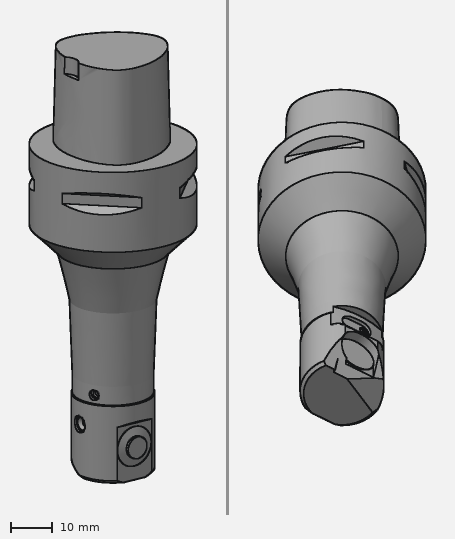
import cadquery as cq
import math

TOTAL_LENGTH = 106.5
SHANK_LENGTH = 23.9
TIP_Z = SHANK_LENGTH - TOTAL_LENGTH
FLANGE_BOTTOM_Z = -20.2
CONE_BOTTOM_Z = -26.8
NECK_BOTTOM_Z = -39.2
TAPER_BOTTOM_Z = -58.0
HEAD_TOP_Z = -62.7

FLANGE_RADIUS = 40.0 / 2
CONE_BOTTOM_RADIUS = FLANGE_RADIUS - (FLANGE_BOTTOM_Z - CONE_BOTTOM_Z)
NECK_BOTTOM_RADIUS = 10.4
NECK_HOLLOW = 0.1
STEM_RADIUS = 19.5 / 2
HEAD_RADIUS = 10.0
HEAD_TOP_CHAMFER = 0.2
HEAD_END_CHAMFER = 0.9

SHANK_MEAN_RADIUS = 14.0
SHANK_LOBE = 1.0
SHANK_TAPER = 1 / 20
SHANK_SPANS = 6
SPAN_STEPS = 4

KEYWAY_RADIUS = 3.8
KEYWAY_HEIGHT = 4.3
KEYWAY_BACK_Y = -11.1

GROOVE_COUNT = 4
FIRST_GROOVE_ANGLE = 45
GROOVE_Z = -8.1
GROOVE_FLOOR_DISTANCE = 17.6
GROOVE_FLOOR_WIDTH = 2.6
GROOVE_WALL_ANGLE = math.radians(30)

INDEX_DIAMETER = 2.6
INDEX_SOCKET_DIAMETER = 1.6
INDEX_DEPTH = 1.1
INDEX_Z = -60.6
INDEX_X = 4.3

POCKET_TOP_Z = -60.4
POCKET_BOTTOM_Z = -67.8
POCKET_FLOOR_X = -8.0
POCKET_FLOOR_RADIUS = 24.1
POCKET_HALF_WIDTH = 8.5
POCKET_LIP = 0.7
WINDOW_WIDTH = 4.5
WINDOW_LENGTH = 7.6
WINDOW_DEPTH = 0.9
WINDOW_TAPER = 15
WINDOW_Y = 0.6
WINDOW_Z = -64.8
DIAL_SCREW_DIAMETER = 2.3
DIAL_SOCKET_DIAMETER = 1.0
DIAL_SCREW_DEPTH = 0.5
DIAL_SCREW_Y = -1.8
DIAL_SCREW_Z = -64.3

BACK_FLAT_X = -8.9
RELIEF_START_Z = -72.6
RELIEF_ANGLE = math.radians(20.9)
SLOT_FLOOR_X = -6.2
SLOT_SIDE_Y = 2.8
STEP_START_Z = -79.6
STEP_ANGLE = math.radians(32)

PIN_DIAMETER = 10.0
PIN_Z = -74.1
PIN_BACK_X = -6.4
PIN_SHOULDER_X = 8.5
PIN_STUD_X = 9.2
PIN_FRONT_X = 9.9
PIN_STUD_DIAMETER = 5.5

CORNER_POINT = (-4.4, 1.3, TIP_Z)
CORNER_AZIMUTH = 207
CORNER_RISE = math.radians(31.6)

FRONT_FLAT_X = 8.6
FRONT_FLAT_TOP_Z = -68.3
FRONT_RUNOUT_ANGLE = math.radians(31)

NOZZLE_DIAMETER = 4.2
NOZZLE_SEAT_DIAMETER = 3.2
NOZZLE_TIP_DIAMETER = 1.3
NOZZLE_Z = -68.9
NOZZLE_DEPTH = 0.7

CLEAR = 21.3
OVERRUN = 1.1


def box_between(x_range, y_range, z_range):
    """Box given by its limits along each axis."""
    size = [high - low for low, high in (x_range, y_range, z_range)]
    box = cq.Workplane("XY").box(*size, centered=False)
    return box.translate((x_range[0], y_range[0], z_range[0]))


def shank_point(angle, mean_radius):
    """Point of the three-lobed curve whose outward normal has this angle."""
    lobe_angle = 3 * (angle - math.pi / 2)
    support = mean_radius + SHANK_LOBE * math.cos(lobe_angle)
    slope = -3 * SHANK_LOBE * math.sin(lobe_angle)
    return (
        support * math.cos(angle) - slope * math.sin(angle),
        support * math.sin(angle) + slope * math.cos(angle),
    )


def shank_section(z, mean_radius):
    """Closed three-lobed wire made of alternating lobe and flank curves."""
    span = 2 * math.pi / SHANK_SPANS
    edges = []
    for index in range(SHANK_SPANS):
        angles = [span * (index + step / SPAN_STEPS) for step in range(SPAN_STEPS + 1)]
        points = [cq.Vector(*shank_point(angle, mean_radius), z) for angle in angles]
        tangents = [cq.Vector(-math.sin(angle), math.cos(angle), 0) for angle in (angles[0], angles[-1])]
        edges.append(cq.Edge.makeSpline(points, tangents=tangents))
    return cq.Wire.assembleEdges(edges)


def shank():
    """Tapered three-lobed shank with a rounded keyway at its top."""
    top_radius = SHANK_MEAN_RADIUS - SHANK_LENGTH * SHANK_TAPER / 2
    sections = [shank_section(0, SHANK_MEAN_RADIUS), shank_section(SHANK_LENGTH, top_radius)]
    body = cq.Workplane(cq.Solid.makeLoft(sections, True))
    keyway = (
        cq.Workplane("XY", origin=(0, KEYWAY_BACK_Y - KEYWAY_RADIUS, SHANK_LENGTH - KEYWAY_HEIGHT))
        .circle(KEYWAY_RADIUS)
        .extrude(KEYWAY_HEIGHT)
    )
    return body.cut(keyway)


def turned_body():
    """Flange, cone, hollowed neck and slim end, turned about the tool axis."""
    neck_middle = (
        (CONE_BOTTOM_RADIUS + NECK_BOTTOM_RADIUS) / 2 - NECK_HOLLOW,
        (CONE_BOTTOM_Z + NECK_BOTTOM_Z) / 2,
    )
    return (
        cq.Workplane("XZ")
        .moveTo(0, 0)
        .lineTo(FLANGE_RADIUS, 0)
        .lineTo(FLANGE_RADIUS, FLANGE_BOTTOM_Z)
        .lineTo(CONE_BOTTOM_RADIUS, CONE_BOTTOM_Z)
        .threePointArc(neck_middle, (NECK_BOTTOM_RADIUS, NECK_BOTTOM_Z))
        .lineTo(STEM_RADIUS, TAPER_BOTTOM_Z)
        .lineTo(STEM_RADIUS, HEAD_TOP_Z)
        .lineTo(0, HEAD_TOP_Z)
        .close()
        .revolve(360, (0, 0, 0), (0, 1, 0))
    )


def gripper_groove(angle):
    """Straight groove with sloped walls, cut into the flange rim at this angle."""
    floor_half = GROOVE_FLOOR_WIDTH / 2
    reach = FLANGE_RADIUS + OVERRUN - GROOVE_FLOOR_DISTANCE
    mouth_half = floor_half + reach * math.tan(GROOVE_WALL_ANGLE)
    profile = [(0, -floor_half), (reach, -mouth_half), (reach, mouth_half), (0, floor_half)]
    return (
        cq.Workplane("XZ", origin=(GROOVE_FLOOR_DISTANCE, 0, GROOVE_Z))
        .polyline(profile)
        .close()
        .extrude(FLANGE_RADIUS, both=True)
        .rotate((0, 0, 0), (0, 0, 1), angle)
    )


def index_hole():
    """Radial screw hole with a small socket, just above the head."""
    angle = -math.acos(INDEX_X / STEM_RADIUS)
    outward = cq.Vector(math.cos(angle), math.sin(angle), 0)
    floor = outward * (STEM_RADIUS - INDEX_DEPTH) + cq.Vector(0, 0, INDEX_Z)
    plane = cq.Plane(origin=floor, xDir=(0, 0, 1), normal=outward)
    screw = cq.Workplane(plane).circle(INDEX_DIAMETER / 2).extrude(2 * INDEX_DEPTH)
    socket = cq.Workplane(plane).circle(INDEX_SOCKET_DIAMETER / 2).extrude(-INDEX_DEPTH)
    return screw.union(socket)


def adjusting_pocket():
    """Space outside a gently rounded floor, with a slotted window in it."""
    centre_x = POCKET_FLOOR_X + POCKET_FLOOR_RADIUS
    edge_x = centre_x - math.sqrt(POCKET_FLOOR_RADIUS**2 - POCKET_HALF_WIDTH**2)
    pocket = (
        cq.Workplane("XY", origin=(0, 0, POCKET_BOTTOM_Z))
        .moveTo(edge_x, POCKET_HALF_WIDTH)
        .threePointArc((POCKET_FLOOR_X, 0), (edge_x, -POCKET_HALF_WIDTH))
        .lineTo(-CLEAR, -POCKET_HALF_WIDTH)
        .lineTo(-CLEAR, POCKET_HALF_WIDTH)
        .close()
        .extrude(POCKET_TOP_Z - POCKET_BOTTOM_Z)
    )
    window = (
        cq.Workplane("YZ", origin=(POCKET_FLOOR_X + WINDOW_DEPTH, WINDOW_Y, WINDOW_Z))
        .slot2D(WINDOW_LENGTH, WINDOW_WIDTH)
        .extrude(-WINDOW_DEPTH, taper=-WINDOW_TAPER)
    )
    return pocket.union(window)


def dial_screw_hole():
    """Small stepped hole in the floor of the pocket window."""
    floor_x = POCKET_FLOOR_X + WINDOW_DEPTH
    plane = cq.Workplane("YZ", origin=(floor_x, DIAL_SCREW_Y, DIAL_SCREW_Z))
    screw = plane.circle(DIAL_SCREW_DIAMETER / 2).extrude(DIAL_SCREW_DEPTH)
    socket = plane.circle(DIAL_SOCKET_DIAMETER / 2).extrude(2 * DIAL_SCREW_DEPTH)
    return screw.union(socket)


def head_blank():
    """Turned head, slightly wider than the stem, chamfered at both ends."""
    return (
        cq.Workplane("XY", origin=(0, 0, TIP_Z))
        .circle(HEAD_RADIUS)
        .extrude(HEAD_TOP_Z - TIP_Z)
        .faces(">Z").chamfer(HEAD_TOP_CHAMFER)
        .faces("<Z").chamfer(HEAD_END_CHAMFER)
    )


def slope_x(start_x, start_z, angle, z):
    """X of a sloped face at height z, leaning from its start by this angle."""
    return start_x + (start_z - z) * math.tan(angle)


def sloped_cut(start_x, start_z, angle, half_width):
    """Space behind a face that leans inwards towards the tip."""
    end_z = TIP_Z - OVERRUN
    end_x = slope_x(start_x, start_z, angle, end_z)
    return (
        cq.Workplane("XZ")
        .polyline([(start_x, start_z), (end_x, end_z), (-CLEAR, end_z), (-CLEAR, start_z)])
        .close()
        .extrude(half_width, both=True)
    )


def back_cuts():
    """Flat, relief slope, side slot, lower step and pocket lip on the back of the head."""
    flat = box_between((-CLEAR, BACK_FLAT_X), (-CLEAR, CLEAR), (TIP_Z, POCKET_BOTTOM_Z))
    relief = sloped_cut(BACK_FLAT_X, RELIEF_START_Z, RELIEF_ANGLE, CLEAR)
    slot = box_between((-CLEAR, SLOT_FLOOR_X), (-PIN_DIAMETER / 2, SLOT_SIDE_Y), (TIP_Z, PIN_Z))
    step_x = slope_x(BACK_FLAT_X, RELIEF_START_Z, RELIEF_ANGLE, STEP_START_Z)
    step = sloped_cut(step_x, STEP_START_Z, STEP_ANGLE, PIN_DIAMETER / 2)
    lip = (
        cq.Workplane("XZ", origin=(BACK_FLAT_X, 0, POCKET_BOTTOM_Z))
        .polyline([(0, -POCKET_LIP), (POCKET_LIP, 0), (-CLEAR, 0), (-CLEAR, -POCKET_LIP)])
        .close()
        .extrude(CLEAR, both=True)
    )
    return [flat, relief, slot, step, lip]


def corner_cut():
    """Wedge that rises outwards from the end face under one corner."""
    rise = CLEAR * math.tan(CORNER_RISE)
    return (
        cq.Workplane("XZ")
        .polyline([(0, 0), (CLEAR, rise), (CLEAR, -OVERRUN), (0, -OVERRUN)])
        .close()
        .extrude(CLEAR, both=True)
        .rotate((0, 0, 0), (0, 0, 1), CORNER_AZIMUTH)
        .translate(CORNER_POINT)
    )


def front_flat():
    """Full-width flat with a sloped run-out at its top."""
    reach = CLEAR - FRONT_FLAT_X
    runout = reach * math.tan(FRONT_RUNOUT_ANGLE)
    return (
        cq.Workplane("XZ", origin=(FRONT_FLAT_X, 0, FRONT_FLAT_TOP_Z))
        .polyline([(0, 0), (reach, runout), (reach, -CLEAR), (0, -CLEAR)])
        .close()
        .extrude(CLEAR, both=True)
    )


def pin_bore():
    """Through bore for the slide pin."""
    return (
        cq.Workplane("YZ", origin=(-CLEAR, 0, PIN_Z))
        .circle(PIN_DIAMETER / 2)
        .extrude(2 * CLEAR)
    )


def nozzle_hole():
    """Round recess with a conical seat that ends in a fine hole."""
    mouth = NOZZLE_DIAMETER / 2
    seat_radius = NOZZLE_SEAT_DIAMETER / 2
    tip = NOZZLE_TIP_DIAMETER / 2
    floor = HEAD_RADIUS - NOZZLE_DEPTH
    seat = floor - NOZZLE_DEPTH
    end = seat - NOZZLE_DEPTH
    profile = [
        (0, end), (tip, end), (tip, seat), (seat_radius, floor),
        (mouth, floor), (mouth, HEAD_RADIUS + OVERRUN), (0, HEAD_RADIUS + OVERRUN),
    ]
    return (
        cq.Workplane("XY")
        .polyline(profile)
        .close()
        .revolve(360, (0, 0, 0), (0, 1, 0))
        .rotate((0, 0, 0), (0, 0, 1), 180)
        .translate((0, 0, NOZZLE_Z))
    )


def make_holder():
    """Shank, flange, stem and boring head in one piece."""
    body = turned_body().union(shank()).union(head_blank())
    for index in range(GROOVE_COUNT):
        body = body.cut(gripper_groove(FIRST_GROOVE_ANGLE + index * 360 / GROOVE_COUNT))
    body = body.cut(index_hole()).cut(adjusting_pocket()).cut(dial_screw_hole())
    for tool in back_cuts():
        body = body.cut(tool)
    return body.cut(corner_cut()).cut(front_flat()).cut(nozzle_hole()).cut(pin_bore())


def make_slide_pin():
    """Round pin with a conical shoulder and a short stud at its front end."""
    pin_radius = PIN_DIAMETER / 2
    stud_radius = PIN_STUD_DIAMETER / 2
    profile = [
        (PIN_BACK_X, 0),
        (PIN_BACK_X, pin_radius),
        (PIN_SHOULDER_X, pin_radius),
        (PIN_STUD_X, stud_radius),
        (PIN_FRONT_X, stud_radius),
        (PIN_FRONT_X, 0),
    ]
    return (
        cq.Workplane("XZ", origin=(0, 0, PIN_Z))
        .polyline(profile)
        .close()
        .revolve(360, (0, 0, 0), (1, 0, 0))
    )


holder = make_holder()
slide_pin = make_slide_pin()

result = cq.Compound.makeCompound([holder.val(), slide_pin.val()])